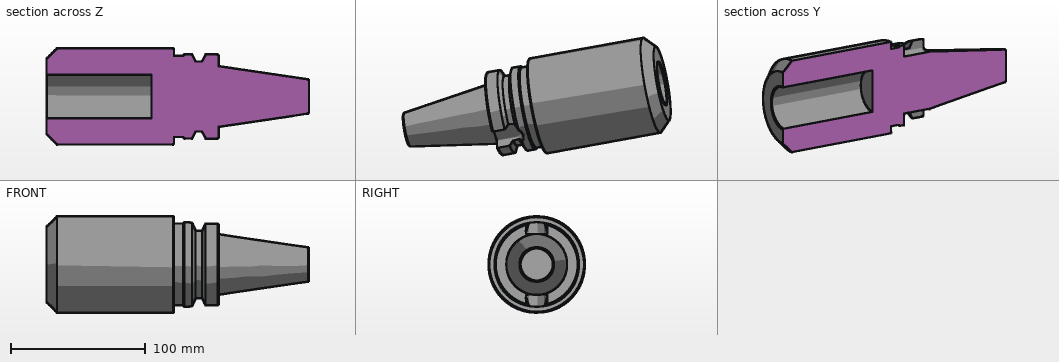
import cadquery as cq

overall_length = 195.4

body_radius = 72.0 / 2
body_end = 95.0
nose_chamfer = 8.0
body_rear_chamfer = 0.8

bore_radius = 32.0 / 2
bore_depth = 78.2
bore_chamfer = 0.5

neck_radius = 61.0 / 2
flange_radius = 63.0 / 2
flange_start = 101.6
flange_end = 128.2
flange_chamfer = 1.0
groove_radius = 26.4
groove_front_rim = 108.5
groove_front_root = 111.0
groove_rear_root = 115.7
groove_rear_rim = 118.5

shank_radius = 22.7
tip_radius = 12.9
tip_chamfer = 1.0

slot_width = 16.0
slot_floor = 22.5
slot_start = 106.1
slot_floor_fillet = 1.0
slot_height = 11.7


def turned_solid():
    """Revolve the outer half-profile, given as (x, radius), about X."""
    profile = [
        (0, 0),
        (0, body_radius - nose_chamfer),
        (nose_chamfer, body_radius),
        (body_end - body_rear_chamfer, body_radius),
        (body_end, body_radius - body_rear_chamfer),
        (body_end, neck_radius),
        (flange_start, neck_radius),
        (flange_start + flange_chamfer, flange_radius),
        (groove_front_rim, flange_radius),
        (groove_front_root, groove_radius),
        (groove_rear_root, groove_radius),
        (groove_rear_rim, flange_radius),
        (flange_end - flange_chamfer, flange_radius),
        (flange_end, flange_radius - flange_chamfer),
        (flange_end, shank_radius),
        (overall_length - tip_chamfer, tip_radius),
        (overall_length, tip_radius - tip_chamfer),
        (overall_length, 0),
    ]
    return cq.Workplane("XY").polyline(profile).close().revolve(360, (0, 0, 0), (1, 0, 0))


def bore():
    """Blind bore with a chamfered mouth."""
    mouth_radius = bore_radius + bore_chamfer
    profile = [
        (0, 0),
        (0, mouth_radius),
        (bore_chamfer, bore_radius),
        (bore_depth, bore_radius),
        (bore_depth, 0),
    ]
    return cq.Workplane("XY").polyline(profile).close().revolve(360, (0, 0, 0), (1, 0, 0))


def drive_slot():
    """Slot with a round front end and filleted floor, open through the rear flange face."""
    half_width = slot_width / 2
    round_center = slot_start + half_width
    slot = (
        cq.Workplane("XY", origin=(0, 0, slot_floor))
        .moveTo(flange_end, -half_width)
        .lineTo(round_center, -half_width)
        .threePointArc((slot_start, 0), (round_center, half_width))
        .lineTo(flange_end, half_width)
        .close()
        .extrude(slot_height)
    )
    floor_edges = slot.faces("<Z").edges("not(>X)")
    return floor_edges.fillet(slot_floor_fillet)


result = turned_solid().cut(bore())
for slot_angle in (0, 180):
    result = result.cut(drive_slot().rotate((0, 0, 0), (1, 0, 0), slot_angle))